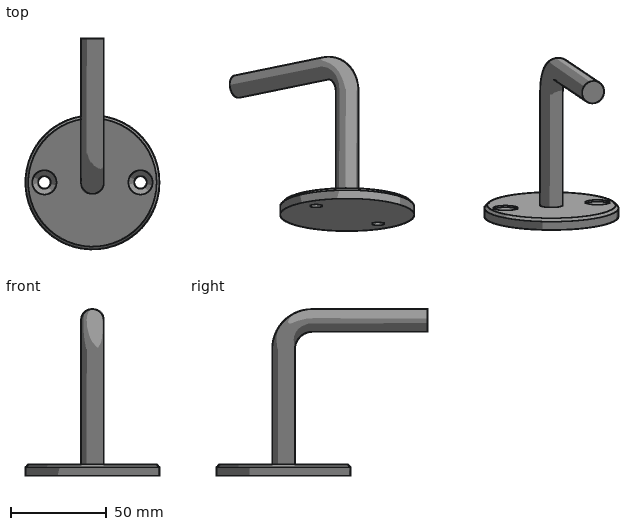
import cadquery as cq

overall_depth = 110
overall_height = 87.0

plate_diameter = 70.0
plate_thickness = 6.0
plate_chamfer = 1.5

hole_spacing = 50.0
hole_diameter = 6.4
head_diameter = 12.6
head_recess_depth = 1.0
countersink_angle = 90

bar_diameter = 12.0
bend_radius = 15.0
arm_axis_height = overall_height - bar_diameter / 2
arm_end_y = overall_depth - plate_diameter / 2


def make_plate():
    """Round plate standing on Z = 0, chamfered on top, with two screw holes."""
    disc = (
        cq.Workplane("XY")
        .circle(plate_diameter / 2)
        .extrude(plate_thickness)
        .faces(">Z")
        .chamfer(plate_chamfer)
    )
    return cut_screw_holes(disc)


def cut_screw_holes(disc):
    """Cut the through holes, their countersinks and a shallow straight recess above each."""
    hole_places = [(-hole_spacing / 2, 0), (hole_spacing / 2, 0)]
    top_plane = cq.Workplane("XY", origin=(0, 0, plate_thickness))
    recess_floor_plane = cq.Workplane("XY", origin=(0, 0, plate_thickness - head_recess_depth))
    return (
        disc.copyWorkplane(top_plane)
        .pushPoints(hole_places)
        .hole(head_diameter, head_recess_depth)
        .copyWorkplane(recess_floor_plane)
        .pushPoints(hole_places)
        .cskHole(hole_diameter, head_diameter, countersink_angle)
    )


def make_bar():
    """Round bar standing on the plate and bent a quarter turn towards +Y."""
    axis = (
        cq.Workplane("YZ")
        .moveTo(0, plate_thickness)
        .lineTo(0, arm_axis_height - bend_radius)
        .radiusArc((bend_radius, arm_axis_height), bend_radius)
        .lineTo(arm_end_y, arm_axis_height)
    )
    section = cq.Workplane("XY", origin=(0, 0, plate_thickness)).circle(bar_diameter / 2)
    return section.sweep(axis)


plate = make_plate()
bar = make_bar()

result = cq.Compound.makeCompound([plate.val(), bar.val()])